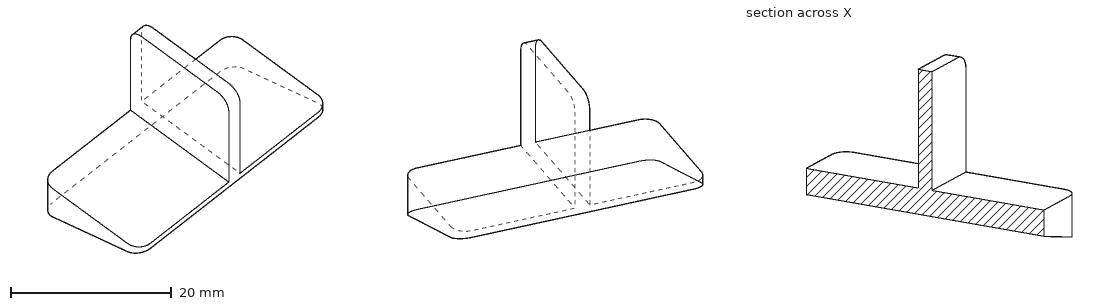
import cadquery as cq

width = 17.0
length = 34.0
height = 21.5

base_deep_side = 6.0
base_shallow_side = 1.0
fin_thickness = 2.0
corner_radius = 2.0
fin_height = height - base_deep_side


def make_base():
    """Base with a flat top at Z = 0, a sloping underside and rounded vertical corners."""
    half_width = width / 2
    profile = [
        (-half_width, 0),
        (half_width, 0),
        (half_width, -base_shallow_side),
        (-half_width, -base_deep_side),
    ]
    wedge = cq.Workplane("XZ").polyline(profile).close().extrude(length / 2, both=True)
    return wedge.edges("|Z").fillet(corner_radius)


def make_fin():
    """Upright fin across the middle of the base, with rounded top corners."""
    fin = cq.Workplane("XY").box(width, fin_thickness, fin_height, centered=(True, True, False))
    return fin.edges("|Y and >Z").fillet(corner_radius)


result = make_base().union(make_fin())